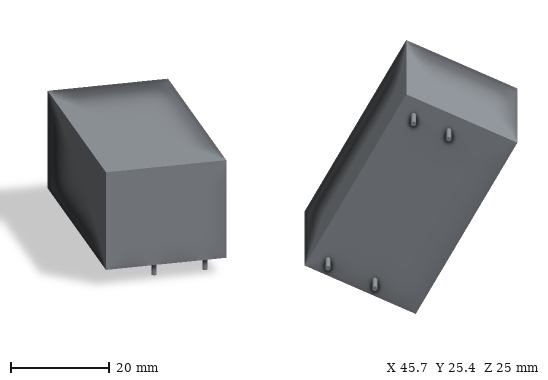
import cadquery as cq


body_length = 45.7
body_width = 25.4
total_height = 25.0
pin_length = 3.5
body_height = total_height - pin_length

pin_diameter = 1.05
left_pin_inset = 3.7
right_pin_inset = 3.47
back_pin_inset = 3.55
left_pin_pitch = 8.05
right_pin_pitch = 10.75

left_row_x = -body_length / 2 + left_pin_inset
right_row_x = body_length / 2 - right_pin_inset
back_pin_y = body_width / 2 - back_pin_inset


def make_body():
    """Plain block standing on the XY plane."""
    return cq.Workplane("XY").box(body_length, body_width, body_height, centered=(True, True, False))


def make_pin_row(row_x, pitch):
    """Two pins hanging below the body, the rear one at the shared back position."""
    positions = [(row_x, back_pin_y), (row_x, back_pin_y - pitch)]
    return cq.Workplane("XY").pushPoints(positions).circle(pin_diameter / 2).extrude(-pin_length)


result = (
    make_body()
    .union(make_pin_row(left_row_x, left_pin_pitch))
    .union(make_pin_row(right_row_x, right_pin_pitch))
)